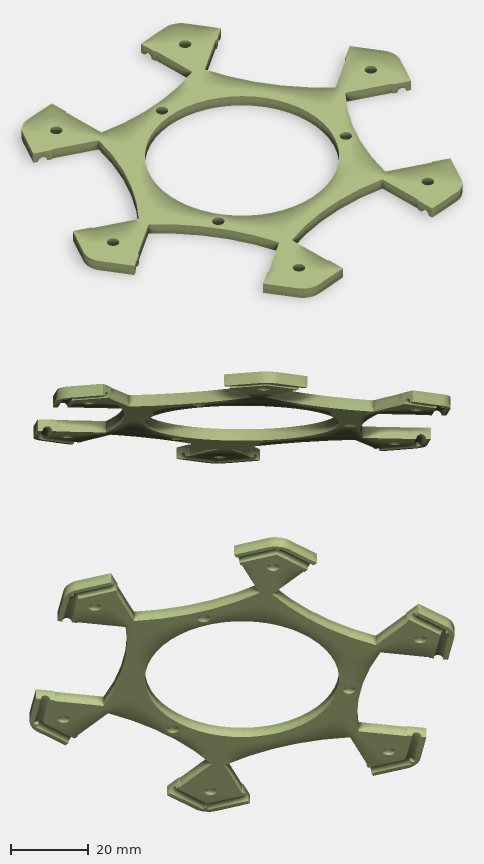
import cadquery as cq
import math

arm_count = 6
arm_pitch = 360 / arm_count
thickness = 3.0
outer_apothem = 50.94
tip_distance = 57.935
corner_radius = 5.0

gap_half_width = 17.25
gap_floor_apothem = 30.9
gap_floor_rise = 2.35
lip_length = 5.0
lip_height = 0.3

bore_radius = 25.0
screw_hole_diameter = 3.2
arm_hole_radius = 49.0
ring_hole_radius = 28.0
ring_hole_count = 3
ring_hole_start = 90.0

groove_radius = 1.25
groove_apothem = outer_apothem - lip_length / 2
groove_corner = groove_apothem * math.tan(math.radians(arm_pitch / 2))


def make_hexagon(apothem):
    """Hexagonal prism with a corner pointing along +X."""
    corner_distance = apothem / math.cos(math.radians(arm_pitch / 2))
    return cq.Workplane("XY").polygon(arm_count, 2 * corner_distance).extrude(thickness)


def make_blank():
    """Hexagonal plate whose corners are cut flat and then blended."""
    corner_cut = make_hexagon(tip_distance).rotate((0, 0, 0), (0, 0, 1), arm_pitch / 2)
    return make_hexagon(outer_apothem).intersect(corner_cut).edges("|Z").fillet(corner_radius)


def make_gap():
    """Cutter for the gap on the +Y side, narrowed at its mouth by the arm lips."""
    lip_start = outer_apothem - lip_length
    mouth_half_width = gap_half_width - lip_height
    floor_side = gap_floor_apothem + gap_floor_rise
    return (
        cq.Workplane("XY")
        .moveTo(-gap_half_width, floor_side)
        .threePointArc((0, gap_floor_apothem), (gap_half_width, floor_side))
        .lineTo(gap_half_width, lip_start)
        .lineTo(mouth_half_width, lip_start)
        .lineTo(mouth_half_width, outer_apothem)
        .lineTo(-mouth_half_width, outer_apothem)
        .lineTo(-mouth_half_width, lip_start)
        .lineTo(-gap_half_width, lip_start)
        .close()
        .extrude(thickness)
    )


def make_groove():
    """Cutter along the +Y flat; neighbouring grooves meet on the arm centrelines."""
    return (
        cq.Workplane("YZ", origin=(-groove_corner, groove_apothem, 0))
        .circle(groove_radius)
        .extrude(2 * groove_corner)
    )


def make_holes(pitch_radius, start_angle, count):
    """Cutters for screw holes spaced evenly around the Z axis."""
    return (
        cq.Workplane("XY")
        .polarArray(pitch_radius, start_angle, 360, count)
        .circle(screw_hole_diameter / 2)
        .extrude(thickness)
    )


result = make_blank()

for side in range(arm_count):
    angle = side * arm_pitch
    for cutter in (make_gap(), make_groove()):
        result = result.cut(cutter.rotate((0, 0, 0), (0, 0, 1), angle))

bore = cq.Workplane("XY").circle(bore_radius).extrude(thickness)
result = result.cut(bore)
result = result.cut(make_holes(arm_hole_radius, 0, arm_count))
result = result.cut(make_holes(ring_hole_radius, ring_hole_start, ring_hole_count))